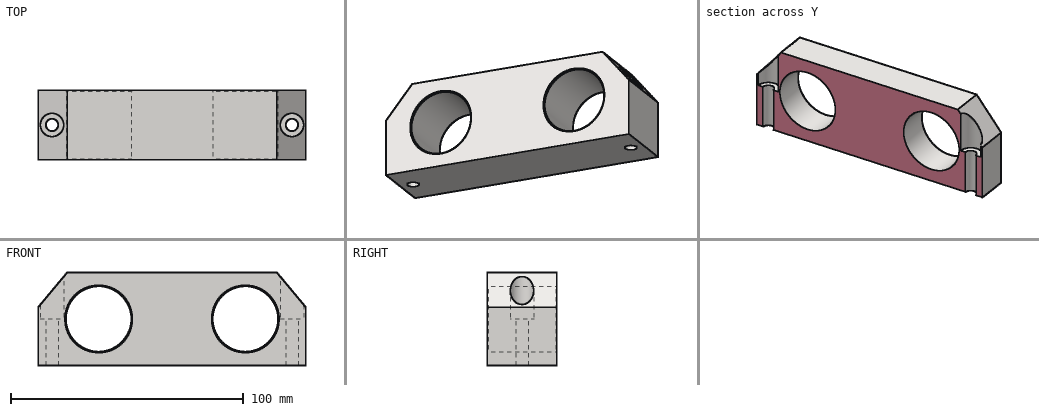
import cadquery as cq

length = 115.0
width = 30.0
height = 40.0

shoulder_run = 12.5
shoulder_drop = 15.0

bore_diameter = 28.0
bore_spacing = 63.0
bore_height = height / 2
bore_chamfer = 0.5

screw_diameter = 5.2
head_diameter = 10.0
screw_end_distance = 6.0
screw_spacing = length - 2 * screw_end_distance
head_seat_height = 20.0


def make_block():
    """Extrude the shouldered end profile across the width."""
    half_length = length / 2
    half_top = half_length - shoulder_run
    shoulder_height = height - shoulder_drop
    return (
        cq.Workplane("XZ")
        .moveTo(-half_length, 0)
        .lineTo(half_length, 0)
        .lineTo(half_length, shoulder_height)
        .lineTo(half_top, height)
        .lineTo(-half_top, height)
        .lineTo(-half_length, shoulder_height)
        .close()
        .extrude(width / 2, both=True)
    )


def make_bore(x):
    """Cutter for one bore along Y, chamfered outwards at both mouths."""
    bore_radius = bore_diameter / 2
    mouth_radius = bore_radius + bore_chamfer
    half_width = width / 2
    chamfer_start = half_width - bore_chamfer
    return (
        cq.Workplane("XY")
        .moveTo(0, -half_width)
        .lineTo(mouth_radius, -half_width)
        .lineTo(bore_radius, -chamfer_start)
        .lineTo(bore_radius, chamfer_start)
        .lineTo(mouth_radius, half_width)
        .lineTo(0, half_width)
        .close()
        .revolve(360, (0, 0, 0), (0, 1, 0))
        .translate((x, 0, bore_height))
    )


def make_screw_hole(x):
    """Cutter for one vertical through hole with a flat head seat."""
    shank = cq.Workplane("XY").circle(screw_diameter / 2).extrude(height)
    head = (
        cq.Workplane("XY", origin=(0, 0, head_seat_height))
        .circle(head_diameter / 2)
        .extrude(height - head_seat_height)
    )
    return shank.union(head).translate((x, 0, 0))


result = make_block()
for side in (-1, 1):
    result = result.cut(make_bore(side * bore_spacing / 2))
    result = result.cut(make_screw_hole(side * screw_spacing / 2))